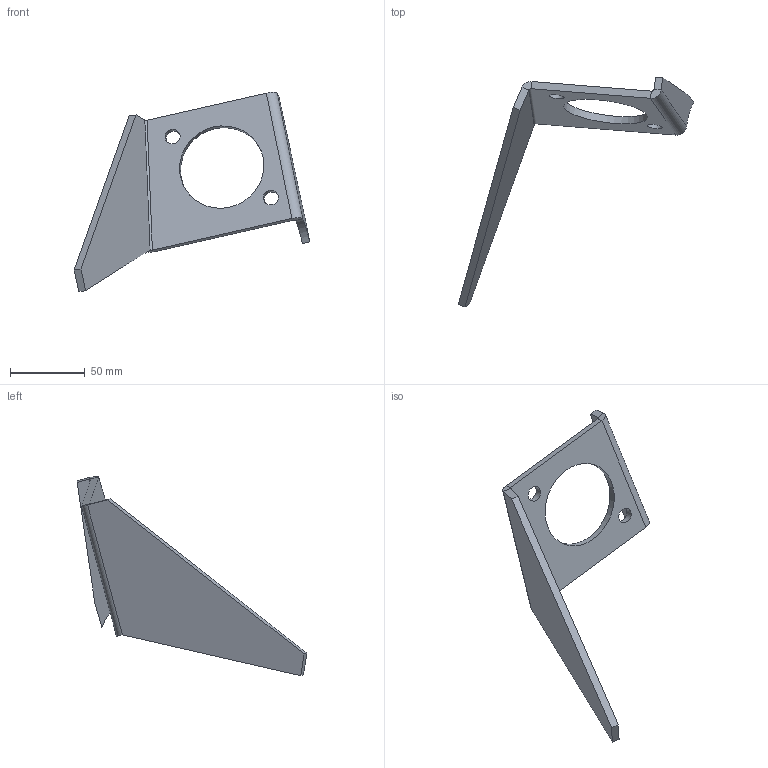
import cadquery as cq
import math

thickness = 5.0
inner_radius = 1.5
outer_radius = inner_radius + thickness

plate_height = 89.1
plate_top_width = 82.16
plate_slant = 8.88

bore_diameter = 57.0
bolt_diameter = 10.15
bore_to_tab_fold = 39.33
bore_to_top_edge = 43.35
bolt_circle_diameter = 80.0
first_bolt_angle = 135.0
bolt_count = 2

wing_fold_angle = 75.0
wing_top_edge = 15.0
wing_lower_edge = 129.95
wing_tip_width = 15.0
wing_lower_angle = 25.36

tab_top_rise = 15.0
tab_full_rise = 26.37
tab_taper_drop = 82.84
tab_tip_drop = 100.2
tab_arc_radius = 23.0
tab_fold_angle = 90.0

turn_about_x = 75.03
turn_about_y = -12.74
turn_about_z = -4.61

plate_skew = plate_height * math.tan(math.radians(plate_slant))
fold_length = plate_height / math.cos(math.radians(plate_slant))
bottom_y = bore_to_top_edge - plate_height
wing_fold_top = (bore_to_tab_fold - plate_top_width, bore_to_top_edge)
wing_fold_bottom = (wing_fold_top[0] - plate_skew, bottom_y)


def bend(angle, length):
    """Bend running along +Z: leaves the sheet in +X at y = 0..thickness and turns towards +Y."""
    half = math.radians(angle / 2)
    full = math.radians(angle)

    def point(radius, turn):
        return (radius * math.sin(turn), outer_radius - radius * math.cos(turn))

    return (
        cq.Workplane("XY")
        .moveTo(*point(outer_radius, 0))
        .threePointArc(point(outer_radius, half), point(outer_radius, full))
        .lineTo(*point(inner_radius, full))
        .threePointArc(point(inner_radius, half), point(inner_radius, 0))
        .close()
        .extrude(length)
    )


def bend_exit(angle):
    """Outer edge of the far end of a bend, where the flat flange begins."""
    turn = math.radians(angle)
    return (outer_radius * math.sin(turn), outer_radius * (1 - math.cos(turn)))


def placed(shape, origin, x_direction, normal):
    """Shape moved so that its X and Z axes follow the given directions from the given origin."""
    return shape.val().located(cq.Plane(origin, x_direction, normal).location)


def make_plate():
    """Plate with its front face at z = 0 and the bore centred on the Z axis."""
    outline = [
        wing_fold_top,
        (bore_to_tab_fold, bore_to_top_edge),
        (bore_to_tab_fold, bottom_y),
        wing_fold_bottom,
    ]
    plate = cq.Workplane("XY").polyline(outline).close().extrude(-thickness)
    bore = cq.Workplane("XY").circle(bore_diameter / 2).extrude(-thickness)
    bolts = (
        cq.Workplane("XY")
        .polarArray(bolt_circle_diameter / 2, first_bolt_angle, 360, bolt_count)
        .circle(bolt_diameter / 2)
        .extrude(-thickness)
    )
    return plate.cut(bore).cut(bolts)


def make_wing():
    """Bend and wing panel along the slanted side, drawn with +Z up the fold from its lower end."""
    dip = math.radians(wing_lower_angle)
    tip_lower = (wing_lower_edge * math.cos(dip), -wing_lower_edge * math.sin(dip))
    tip_upper = (
        tip_lower[0] + wing_tip_width * math.sin(dip),
        tip_lower[1] + wing_tip_width * math.cos(dip),
    )
    outline = [(0, 0), (0, fold_length), (wing_top_edge, fold_length), tip_upper, tip_lower]
    turn = math.radians(wing_fold_angle)
    flat = cq.Workplane(
        cq.Plane(
            origin=(*bend_exit(wing_fold_angle), 0),
            xDir=(math.cos(turn), math.sin(turn), 0),
            normal=(math.sin(turn), -math.cos(turn), 0),
        )
    )
    panel = flat.polyline(outline).close().extrude(-thickness)
    wing = bend(wing_fold_angle, fold_length).union(panel, clean=False)
    slant = math.radians(plate_slant)
    up_the_fold = (math.sin(slant), math.cos(slant), 0)
    away_from_plate = (-math.cos(slant), math.sin(slant), 0)
    return placed(wing, (*wing_fold_bottom, -thickness), away_from_plate, up_the_fold)


def make_tab():
    """Bend and tab panel along the square side, drawn with +Z up the fold from its lower end."""
    tip_y = plate_height - tab_tip_drop
    panel = (
        cq.Workplane("YZ", origin=(inner_radius, 0, 0))
        .moveTo(outer_radius, 0)
        .lineTo(outer_radius, plate_height)
        .lineTo(tab_top_rise, plate_height)
        .lineTo(tab_full_rise, plate_height - tab_taper_drop)
        .lineTo(tab_full_rise, tip_y)
        .radiusArc((outer_radius, 0), -tab_arc_radius)
        .close()
        .extrude(thickness)
    )
    tab = bend(tab_fold_angle, plate_height).union(panel, clean=False)
    return placed(tab, (bore_to_tab_fold, bottom_y, 0), (1, 0, 0), (0, 1, 0))


bracket = make_plate()
for flange in (make_wing(), make_tab()):
    bracket = bracket.union(cq.Workplane(flange), clean=False)

result = (
    bracket.rotate((0, 0, 0), (1, 0, 0), turn_about_x)
    .rotate((0, 0, 0), (0, 1, 0), turn_about_y)
    .rotate((0, 0, 0), (0, 0, 1), turn_about_z)
)